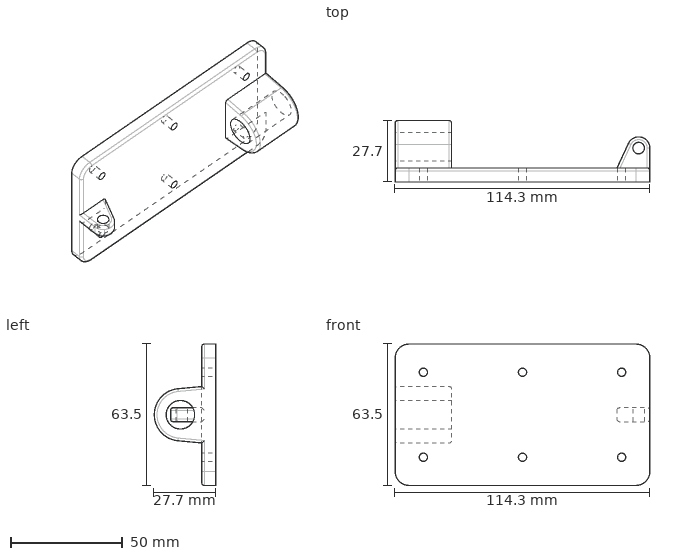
import cadquery as cq
import math

PLATE_LENGTH = 114.3
PLATE_HEIGHT = 63.5
PLATE_THICKNESS = 6.35
CORNER_RADIUS = 6.35
EDGE_ROUND = 1.27

SCREW_DIAMETER = 3.61
SCREW_COLUMNS = 3
SCREW_ROWS = 2
SCREW_PITCH_X = 44.45
SCREW_PITCH_Z = 38.1

WIDE_LUG_WIDTH = 25.4
WIDE_LUG_FOOT = 25.4
WIDE_LUG_TOP_Y = 27.65
WIDE_LUG_BORE = 12.7
WIDE_LUG_BORE_Y = 15.875
WIDE_LUG_RADIUS = WIDE_LUG_TOP_Y - WIDE_LUG_BORE_Y

THIN_LUG_WIDTH = 6.35
THIN_LUG_FOOT = 14.8
THIN_LUG_RADIUS = 5.08
THIN_LUG_BORE = 5.08
THIN_LUG_BORE_Y = 15.24

HALF_LENGTH = PLATE_LENGTH / 2
LUG_ROOT_Y = PLATE_THICKNESS - EDGE_ROUND


def flank(foot_offset, bore_y, radius):
    """Straight side of a lug, tangent to its round head.

    foot_offset is the distance from the bore axis to the side at the plate's back face.
    Returns the root point and the tangent point as (offset from bore axis, Y).
    """
    rise = bore_y - PLATE_THICKNESS
    foot_distance = math.hypot(foot_offset, rise)
    angle = math.acos(radius / foot_distance) - math.atan2(rise, foot_offset)
    tangent_offset = radius * math.cos(angle)
    tangent_y = bore_y + radius * math.sin(angle)
    root_offset = tangent_offset + (tangent_y - LUG_ROOT_Y) * math.tan(angle)
    return (root_offset, LUG_ROOT_Y), (tangent_offset, tangent_y)


def make_plate():
    plate = (
        cq.Workplane("XZ")
        .rect(PLATE_LENGTH, PLATE_HEIGHT)
        .extrude(-PLATE_THICKNESS)
        .edges("|Y")
        .fillet(CORNER_RADIUS)
        .faces(">Y")
        .edges()
        .fillet(EDGE_ROUND)
    )
    screws = (
        cq.Workplane("XZ")
        .rarray(SCREW_PITCH_X, SCREW_PITCH_Z, SCREW_COLUMNS, SCREW_ROWS)
        .circle(SCREW_DIAMETER / 2)
        .extrude(-PLATE_THICKNESS)
    )
    return plate.cut(screws)


def make_wide_lug():
    root, tangent = flank(WIDE_LUG_FOOT / 2, WIDE_LUG_BORE_Y, WIDE_LUG_RADIUS)
    root_z, root_y = root
    tangent_z, tangent_y = tangent
    end_plane = cq.Workplane("YZ", origin=(-HALF_LENGTH, 0, 0))
    lug = (
        end_plane.moveTo(root_y, -root_z)
        .lineTo(tangent_y, -tangent_z)
        .threePointArc((WIDE_LUG_TOP_Y, 0), (tangent_y, tangent_z))
        .lineTo(root_y, root_z)
        .close()
        .extrude(WIDE_LUG_WIDTH)
    )
    lug = lug.faces("<X or >X").edges("not <Y").fillet(EDGE_ROUND)
    bore = end_plane.center(WIDE_LUG_BORE_Y, 0).circle(WIDE_LUG_BORE / 2).extrude(WIDE_LUG_WIDTH)
    return lug.cut(bore)


def make_thin_lug():
    bore_x = HALF_LENGTH - THIN_LUG_RADIUS
    root, tangent = flank(THIN_LUG_FOOT - THIN_LUG_RADIUS, THIN_LUG_BORE_Y, THIN_LUG_RADIUS)
    root_offset, root_y = root
    tangent_offset, tangent_y = tangent
    side_plane = cq.Workplane("XY", origin=(0, 0, -THIN_LUG_WIDTH / 2))
    lug = (
        side_plane.moveTo(HALF_LENGTH, root_y)
        .lineTo(HALF_LENGTH, THIN_LUG_BORE_Y)
        .threePointArc((bore_x, THIN_LUG_BORE_Y + THIN_LUG_RADIUS), (bore_x - tangent_offset, tangent_y))
        .lineTo(bore_x - root_offset, root_y)
        .close()
        .extrude(THIN_LUG_WIDTH)
    )
    lug = lug.faces("<Z or >Z").edges("not <Y").fillet(EDGE_ROUND)
    bore = side_plane.center(bore_x, THIN_LUG_BORE_Y).circle(THIN_LUG_BORE / 2).extrude(THIN_LUG_WIDTH)
    return lug.cut(bore)


result = make_plate().union(make_wide_lug()).union(make_thin_lug())